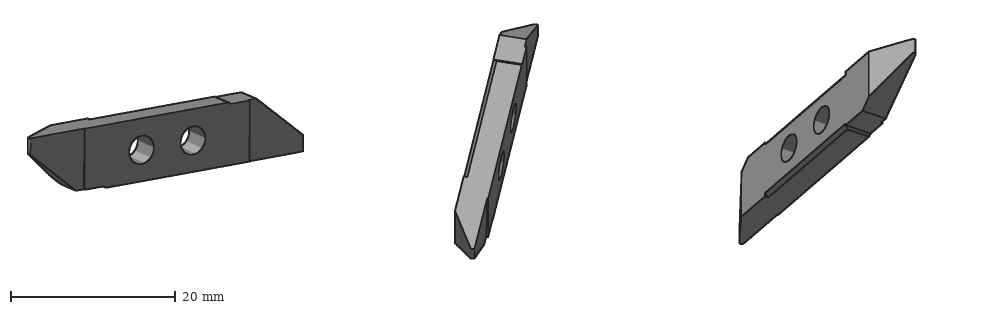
import cadquery as cq
import math

length = 40.0
width = 3.6
height = 8.0

bevel_start = 13.1
bevel_angle = 40.0
flank_angle = 29.5
tip_radius = 0.3

ledge_depth = 0.25
ledge_inner = 8.9
ledge_outer = 9.3

relief_start = 12.0
relief_at_tip = 0.1
relief_at_back = 0.25

tip_face_length = 1.05
tip_face_drop = 0.05

edge_chamfer = 0.5
chamfer_half_length = 9.25
hole_diameter = 3.55
hole_spacing = 7.5

half_length = length / 2
half_width = width / 2
half_height = height / 2
margin = 0.4


def both_ends(cutter):
    """Join a cutter with its copy turned half a turn about X."""
    return cutter.union(cutter.rotate((0, 0, 0), (1, 0, 0), 180))


def across_width(points):
    """Prism through the whole width from an outline in Y and Z."""
    prism = cq.Workplane("YZ").polyline(points).close()
    return prism.extrude(half_width + margin, both=True)


def plan_body():
    """Bar seen in plan, with a flank and a rounded tip at both ends."""
    flank = math.radians(flank_angle)
    side = half_width - relief_at_tip
    centre_x = side - tip_radius
    centre_y = half_length - tip_radius
    tangent_x = centre_x - tip_radius * math.cos(flank)
    tangent_y = centre_y + tip_radius * math.sin(flank)
    flank_start = tangent_y - (tangent_x + half_width) / math.tan(flank)
    middle_angle = (math.pi - flank) / 2
    arc_x = centre_x + tip_radius * math.cos(middle_angle)
    arc_y = centre_y + tip_radius * math.sin(middle_angle)
    outline = (
        cq.Workplane("XY")
        .moveTo(-half_width, -flank_start)
        .lineTo(tangent_x, -tangent_y)
        .threePointArc((arc_x, -arc_y), (side, -centre_y))
        .lineTo(side, -relief_start)
        .lineTo(half_width, -relief_start)
        .lineTo(half_width, relief_start)
        .lineTo(side, relief_start)
        .lineTo(side, centre_y)
        .threePointArc((arc_x, arc_y), (tangent_x, tangent_y))
        .lineTo(-half_width, flank_start)
        .close()
    )
    return outline.extrude(half_height, both=True)


def back_cutter():
    """Sloping back and the ledge that leads up to it."""
    ledge_z = half_height - ledge_depth
    end_y = half_length + margin
    end_z = ledge_z - (end_y - bevel_start) * math.tan(math.radians(bevel_angle))
    return across_width([
        (ledge_inner, half_height),
        (ledge_outer, ledge_z),
        (bevel_start, ledge_z),
        (end_y, end_z),
        (end_y, half_height + margin),
        (ledge_inner, half_height + margin),
    ])


def relief_cutter():
    """Wedge that leans the far side inward, away from the tip."""
    wedge = (
        cq.Workplane("XZ", origin=(0, relief_start, 0))
        .moveTo(half_width - relief_at_tip, -half_height)
        .lineTo(half_width - relief_at_back, half_height)
        .lineTo(half_width + margin, half_height)
        .lineTo(half_width + margin, -half_height)
        .close()
    )
    return wedge.extrude(-(half_length + margin - relief_start))


def tip_face_cutter():
    """Thin wedge under the tip at the +Y end."""
    return across_width([
        (half_length - tip_face_length, -half_height),
        (half_length, -half_height + tip_face_drop),
        (half_length, -half_height - margin),
        (half_length - tip_face_length, -half_height - margin),
    ])


def chamfer_cutter():
    """Chamfer along the middle of the upper -X edge."""
    triangle = (
        cq.Workplane("XZ")
        .moveTo(-half_width, half_height - edge_chamfer)
        .lineTo(-half_width + edge_chamfer, half_height)
        .lineTo(-half_width, half_height)
        .close()
    )
    return triangle.extrude(chamfer_half_length, both=True)


result = plan_body()
for end_cutter in (back_cutter(), relief_cutter(), tip_face_cutter(), chamfer_cutter()):
    result = result.cut(both_ends(end_cutter))

holes = (
    cq.Workplane("YZ")
    .pushPoints([(-hole_spacing / 2, 0), (hole_spacing / 2, 0)])
    .circle(hole_diameter / 2)
    .extrude(half_width + margin, both=True)
)
result = result.cut(holes)